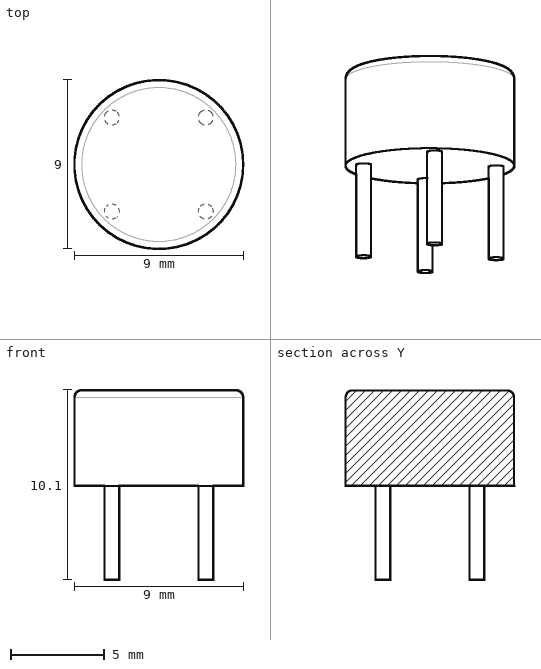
import cadquery as cq

body_diameter = 9.0
body_height = 5.1
top_edge_radius = 0.4

pin_diameter = 0.8
pin_length = 5.0
pin_pitch = 5.0
pins_per_side = 2

body_bottom_z = pin_length


def make_body():
    """Can with a rounded top rim."""
    can = cq.Workplane("XY").workplane(offset=body_bottom_z).circle(body_diameter / 2).extrude(body_height)
    return can.faces(">Z").edges().fillet(top_edge_radius)


def make_pins():
    """Four straight round pins reaching up to the underside of the can."""
    return (
        cq.Workplane("XY")
        .rarray(pin_pitch, pin_pitch, pins_per_side, pins_per_side)
        .circle(pin_diameter / 2)
        .extrude(pin_length)
    )


result = make_body().union(make_pins())